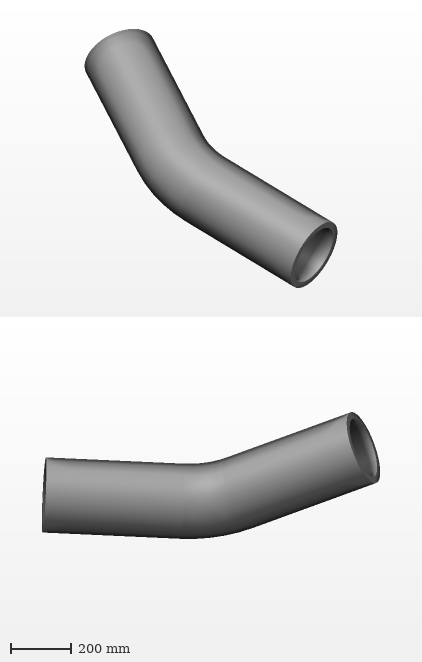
import cadquery as cq
import math

OUTER_DIAMETER = 250.0
INNER_DIAMETER = 204.6
BEND_ANGLE = 30.0
BEND_RADIUS = 1.5 * OUTER_DIAMETER
CENTRE_TO_END = 560.0

LEG_LENGTH = CENTRE_TO_END - BEND_RADIUS * math.tan(math.radians(BEND_ANGLE / 2))


def centreline():
    """Straight leg along +X, bend toward +Y, then a second equal leg."""
    angle = math.radians(BEND_ANGLE)

    def on_bend(turn):
        return (
            LEG_LENGTH + BEND_RADIUS * math.sin(turn),
            BEND_RADIUS * (1 - math.cos(turn)),
        )

    bend_end = on_bend(angle)
    far_end = (
        bend_end[0] + LEG_LENGTH * math.cos(angle),
        bend_end[1] + LEG_LENGTH * math.sin(angle),
    )
    return (
        cq.Workplane("XY")
        .lineTo(LEG_LENGTH, 0)
        .threePointArc(on_bend(angle / 2), bend_end)
        .lineTo(*far_end)
    )


pipe_section = cq.Workplane("YZ").circle(OUTER_DIAMETER / 2).circle(INNER_DIAMETER / 2)
result = pipe_section.sweep(centreline())